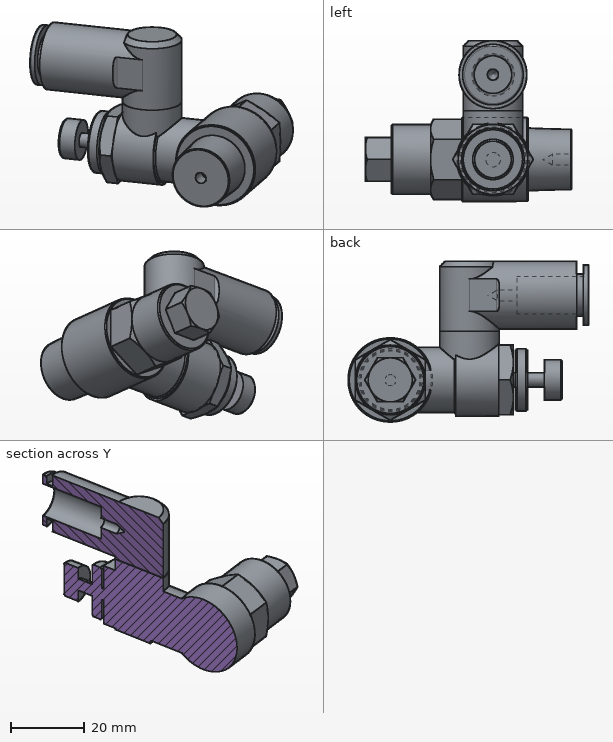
import cadquery as cq
import math


ring_radius = 11.5
ring_front_y = -9.6
ring_back_y = 8.5
ring_chamfer = 0.3

thread_end_y = -21.45
thread_base_radius = 8.6
thread_end_radius = 8.25
thread_chamfer = 0.25

nut_flats = 19.0
nut_end_y = 17.0
cap_radius = nut_flats / 2
cap_end_y = 27.75
cap_chamfer = 0.4
head_flats = 12.0
head_end_y = 34.8
hex_chamfer_angle = 30.0

arm_radius = 8.9
collar_radius = 9.9
collar_start_x = -29.6
collar_end_x = -17.85
collar_root = 0.4

post_x = -21.6
post_radius = 8.15
joint_z = 13.25
post_edge = 1.5

lock_nut_length = 3.95
disc_radius = 8.5
disc_right_x = -34.1
disc_thickness = 3.3
disc_chamfer = 0.45
rod_radius = 2.0
knob_radius = 5.5
knob_left_x = -46.9
knob_length = 4.9
knob_chamfer = 0.5

tube_radius = 9.25
tube_z = 23.1
tube_left_x = -50.8
neck_radius = 5.8
flange_radius = 8.25
flange_left_x = ring_radius - 65.6
flange_thickness = 1.5
flange_fillet = 0.45
bore_radius = 5.1
bore_depth = 19.7
bore_mouth_fillet = 0.4
flat_fillet = 0.85

drill_radius = 1.5
drill_depth = 5.25
drill_point_angle = 60.0


def turned_on_x(points):
    """Solid of revolution about X from (x, radius) points."""
    return cq.Workplane("XY").polyline(points).close().revolve(360, (0, 0, 0), (1, 0, 0))


def turned_on_y(points):
    """Solid of revolution about Y from (radius, y) points."""
    return cq.Workplane("XY").polyline(points).close().revolve(360, (0, 0, 0), (0, 1, 0))


def cylinder(start, direction, radius, length):
    """Plain cylinder from a start point along a direction."""
    return cq.Workplane(cq.Solid.makeCylinder(radius, length, cq.Vector(*start), cq.Vector(*direction)))


def chamfered_hexagon(flats, length, first_corner_angle):
    """Hexagon along +Z from z = 0, its top corners turned off down to the flats."""
    flat_radius = flats / 2
    corner_radius = flat_radius / math.cos(math.pi / 6)
    corner_drop = (corner_radius - flat_radius) * math.tan(math.radians(hex_chamfer_angle))
    prism = (
        cq.Workplane("XY")
        .polygon(6, 2 * corner_radius)
        .extrude(length)
        .rotate((0, 0, 0), (0, 0, 1), first_corner_angle)
    )
    blank = (
        cq.Workplane("XZ")
        .polyline([
            (0, 0),
            (corner_radius, 0),
            (corner_radius, length - corner_drop),
            (flat_radius, length),
            (0, length),
        ])
        .close()
        .revolve(360, (0, 0, 0), (0, 1, 0))
    )
    return prism.intersect(blank)


def hexagon_on_y(flats, start_y, end_y, first_corner_angle):
    """Hexagon along +Y with its chamfered face at end_y."""
    hexagon = chamfered_hexagon(flats, end_y - start_y, first_corner_angle)
    return hexagon.rotate((0, 0, 0), (1, 0, 0), -90).translate((0, start_y, 0))


def pointed_drill(start, direction, depth):
    """Round cutter with straight walls to the given depth, then a conical point."""
    point_length = drill_radius / math.tan(math.radians(drill_point_angle / 2))
    origin = cq.Vector(*start)
    axis = cq.Vector(*direction)
    point = cq.Solid.makeCone(drill_radius, 0, point_length, origin + axis * depth, axis)
    return cylinder(start, direction, drill_radius, depth).union(cq.Workplane(point))


def make_bolt():
    """Ring, tapered thread, nut, cap and head on the Y axis."""
    ring = cylinder((0, ring_front_y, 0), (0, 1, 0), ring_radius, ring_back_y - ring_front_y)
    ring = ring.edges("%CIRCLE").chamfer(ring_chamfer)
    thread = turned_on_y([
        (0, ring_front_y),
        (thread_base_radius, ring_front_y),
        (thread_end_radius, thread_end_y + thread_chamfer),
        (thread_end_radius - thread_chamfer, thread_end_y),
        (0, thread_end_y),
    ])
    nut = hexagon_on_y(nut_flats, ring_back_y, nut_end_y, 90)
    cap = cylinder((0, nut_end_y, 0), (0, 1, 0), cap_radius, cap_end_y - nut_end_y)
    cap = cap.faces(">Y").edges().chamfer(cap_chamfer)
    head = hexagon_on_y(head_flats, cap_end_y, head_end_y, 0)
    return ring.union(thread).union(nut).union(cap).union(head)


def make_arm():
    """Arm reaching the bolt axis, with the thicker collar under the post."""
    return turned_on_x([
        (collar_start_x, 0),
        (collar_start_x, collar_radius),
        (collar_end_x, collar_radius),
        (collar_end_x, arm_radius + collar_root),
        (collar_end_x + collar_root, arm_radius),
        (0, arm_radius),
        (0, 0),
    ])


def make_adjusting_screw():
    """Lock nut, disc, rod and knob on the arm axis."""
    lock_nut = chamfered_hexagon(nut_flats, lock_nut_length, 90)
    lock_nut = lock_nut.rotate((0, 0, 0), (0, 1, 0), -90).translate((collar_start_x, 0, 0))
    disc = cylinder((disc_right_x, 0, 0), (-1, 0, 0), disc_radius, disc_thickness)
    disc = disc.edges("%CIRCLE").chamfer(disc_chamfer)
    knob = cylinder((knob_left_x, 0, 0), (1, 0, 0), knob_radius, knob_length)
    knob = knob.faces("<X").edges().chamfer(knob_chamfer)
    rod_start_x = knob_left_x + knob_length
    rod = cylinder((rod_start_x, 0, 0), (1, 0, 0), rod_radius, collar_start_x - rod_start_x)
    return rod.union(knob).union(disc).union(lock_nut)


def make_valve_body():
    """Banjo body with bolt, arm, adjusting screw and lower half of the post."""
    post = cylinder((post_x, 0, 0), (0, 0, 1), post_radius, joint_z)
    body = make_arm().union(post).union(make_bolt()).union(make_adjusting_screw())
    return body.cut(pointed_drill((0, thread_end_y, 0), (0, 1, 0), drill_depth))


def make_tube_port():
    """Tube port about its own X axis: barrel with side flats, neck and flange."""
    barrel = cylinder((tube_left_x, 0, 0), (1, 0, 0), tube_radius, post_x - tube_left_x)
    flat_depth = tube_radius - post_radius
    for side in (-1, 1):
        flat_cut = (
            cq.Workplane("XY")
            .box(post_radius, 2 * flat_depth, 2 * tube_radius)
            .edges("|Z and <X")
            .edges("<Y" if side > 0 else ">Y")
            .fillet(flat_fillet)
            .translate((post_x - post_radius / 2, side * tube_radius, 0))
        )
        barrel = barrel.cut(flat_cut)
    neck = cylinder((flange_left_x, 0, 0), (1, 0, 0), neck_radius, tube_left_x - flange_left_x)
    flange = cylinder((flange_left_x, 0, 0), (1, 0, 0), flange_radius, flange_thickness)
    flange = flange.faces("<X").edges().fillet(flange_fillet)
    return barrel.union(neck).union(flange)


def make_elbow():
    """Swivelling elbow: upper half of the post with the tube port."""
    top_z = tube_z + tube_radius
    post = cylinder((post_x, 0, joint_z), (0, 0, 1), post_radius, top_z - joint_z)
    post = post.faces(">Z").edges().chamfer(post_edge)
    elbow = make_tube_port().translate((0, 0, tube_z)).union(post)
    bore = cylinder((flange_left_x, 0, tube_z), (1, 0, 0), bore_radius, bore_depth)
    elbow = elbow.cut(bore)
    elbow = elbow.faces("<X").edges(cq.selectors.RadiusNthSelector(0)).fillet(bore_mouth_fillet)
    drill = pointed_drill((flange_left_x + bore_depth, 0, tube_z), (1, 0, 0), drill_depth)
    return elbow.cut(drill)


valve_body = make_valve_body()
elbow = make_elbow()

result = cq.Compound.makeCompound([valve_body.val(), elbow.val()])